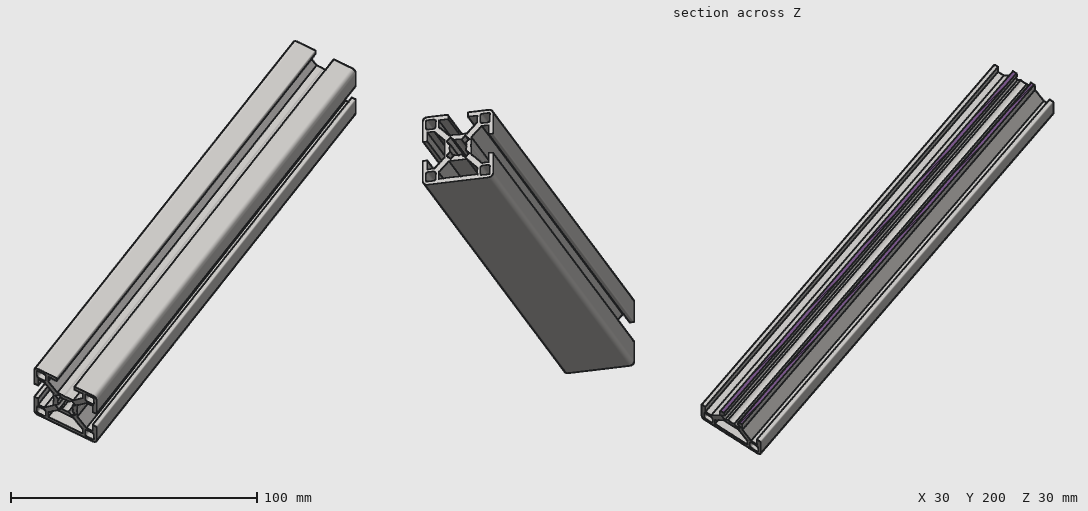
import cadquery as cq

length = 200.0
side = 30.0
corner_radius = 2.0
half_side = side / 2

slot_opening = 8.5
lip_thickness = 2.0
lip_radius = 0.5
slot_width = 16.5
core_side = 11.5
rib_half_offset = 1.9

groove_width = 2.0
groove_bottom_width = 0.5
groove_depth = 0.2

hollow_side = 4.2
hollow_wall = 1.5
hollow_outer_radius = corner_radius - hollow_wall
hollow_side_radius = 1.0
hollow_inner_radius = 1.2

bore_diameter = 7.2
notch_width = 2.5
notch_reach = 5.5


def section():
    """Sketch plane of the profile at the -Y end; local x is X and local y is Z."""
    return cq.Workplane("XZ", origin=(0, -length / 2, 0))


def prism(outline):
    """Run a closed outline along the whole length of the part."""
    return outline.extrude(-length)


def about_axis(solid, angle):
    return solid.rotate((0, 0, 0), (0, 1, 0), angle)


def slot_chamber():
    """Chamber on the +Z side, bounded by two ribs, the core and the outer wall."""
    top = half_side - lip_thickness
    floor = core_side / 2
    half_floor = floor - rib_half_offset
    half_width = slot_width / 2
    shoulder = half_width + rib_half_offset
    return prism(
        section().polyline(
            [
                (-half_floor, floor),
                (half_floor, floor),
                (half_width, shoulder),
                (half_width, top),
                (-half_width, top),
                (-half_width, shoulder),
            ]
        ).close()
    )


def open_slot():
    """Chamber with a round-edged mouth through the outer wall and the groove in its floor."""
    half_opening = slot_opening / 2
    mouth_base = half_side - 2 * lip_thickness
    mouth = prism(
        section()
        .moveTo(-half_opening, mouth_base)
        .lineTo(half_opening, mouth_base)
        .lineTo(half_opening, half_side - lip_radius)
        .radiusArc((half_opening + lip_radius, half_side), lip_radius)
        .lineTo(-half_opening - lip_radius, half_side)
        .radiusArc((-half_opening, half_side - lip_radius), lip_radius)
        .close()
    )
    floor = core_side / 2
    groove = prism(
        section().polyline(
            [
                (-groove_width / 2, floor),
                (-groove_bottom_width / 2, floor - groove_depth),
                (groove_bottom_width / 2, floor - groove_depth),
                (groove_width / 2, floor),
            ]
        ).close()
    )
    return slot_chamber().union(mouth).union(groove)


def corner_hollow():
    centre = half_side - hollow_wall - hollow_side / 2
    hollow = prism(section().center(centre, centre).rect(hollow_side, hollow_side))
    hollow = hollow.edges("|Y and >(1, 0, 1)").fillet(hollow_outer_radius)
    hollow = hollow.edges("|Y and <(1, 0, 1)").fillet(hollow_inner_radius)
    for side_corner in ("|Y and >(1, 0, -1)", "|Y and <(1, 0, -1)"):
        hollow = hollow.edges(side_corner).fillet(hollow_side_radius)
    return hollow


def central_bore():
    bore = prism(section().circle(bore_diameter / 2))
    notch_pair = prism(section().rect(2 * notch_reach, notch_width))
    for angle in (45, 135):
        bore = bore.union(about_axis(notch_pair, angle))
    return bore


body = prism(section().rect(side, side)).edges("|Y").fillet(corner_radius)

for angle in (-90, 0, 90):
    body = body.cut(about_axis(open_slot(), angle))
body = body.cut(about_axis(slot_chamber(), 180))

for angle in (0, 90, 180, 270):
    body = body.cut(about_axis(corner_hollow(), angle))

result = body.cut(central_bore())